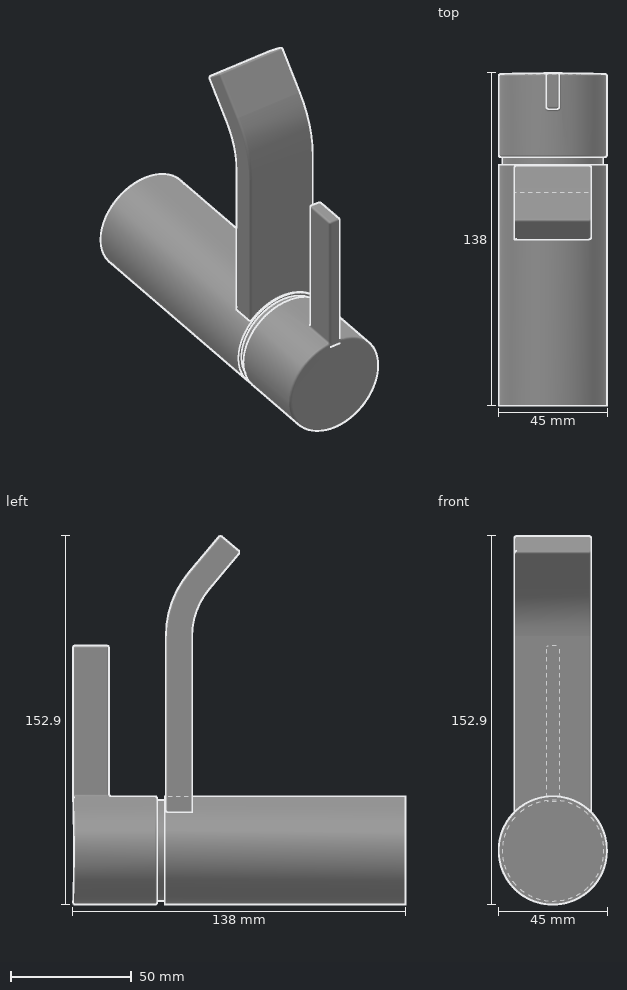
import cadquery as cq
import math

edge_radius = 1.0

barrel_radius = 22.5
barrel_length = 100.0
neck_radius = 21.0
neck_length = 3.0

total_length = 138.0
dish_depth = 0.4
lever_width = 5.5
lever_depth = 15.0
lever_top = 85.0
lever_root_radius = 1.0
lever_embed = 2.0

spout_width = 32.0
spout_thickness = 11.0
spout_setback = 0.5
spout_top = 130.4
bend_start = 89.0
bend_inner_radius = 30.0
bend_angle = math.radians(40.0)

cap_start = barrel_length + neck_length
cap_length = total_length - cap_start
lever_bottom = barrel_radius - lever_embed
spout_back = barrel_length - spout_setback
spout_front = spout_back - spout_thickness
bend_outer_radius = bend_inner_radius + spout_thickness


def cylinder_along_y(radius, start, length):
    """Cylinder on the barrel axis, from Y = start to Y = start + length."""
    return cq.Workplane("XZ", origin=(0, start, 0)).circle(radius).extrude(-length)


def make_barrel():
    neck = cylinder_along_y(neck_radius, barrel_length, neck_length)
    return cylinder_along_y(barrel_radius, 0, barrel_length).union(neck)


def make_cap_shell():
    """Cap drum with rounded rims and a shallow hollow rear face, curved about an axis parallel to X."""
    dish_radius = (barrel_radius**2 + dish_depth**2) / (2 * dish_depth)
    dish_center_y = total_length - dish_depth + dish_radius
    dish = (
        cq.Workplane("YZ")
        .center(dish_center_y, 0)
        .circle(dish_radius)
        .extrude(2 * barrel_radius, both=True)
    )
    drum = cylinder_along_y(barrel_radius, cap_start, cap_length)
    return drum.cut(dish).edges("not |Y").fillet(edge_radius)


def make_lever():
    """Upright flat lever, flush with the rear of the cap and rooted inside it."""
    return (
        cq.Workplane("XY", origin=(0, total_length - lever_depth / 2, lever_bottom))
        .rect(lever_width, lever_depth)
        .extrude(lever_top - lever_bottom)
        .edges("|Z or >Z")
        .fillet(edge_radius)
    )


def make_cap():
    """Cap and lever as one solid, with a fillet where the lever meets the drum."""
    cap = make_cap_shell().union(make_lever())
    root_zone = cq.selectors.BoxSelector(
        (-lever_width, cap_start + edge_radius, lever_bottom),
        (lever_width, total_length, barrel_radius + edge_radius),
    )
    return cap.edges(root_zone).edges("<Y").fillet(lever_root_radius)


def point_on_bend(radius, angle):
    """Point (Y, Z) on an arc about the bend centre, measured from the upright part of the spout."""
    center_y = spout_front - bend_inner_radius
    return (center_y + radius * math.cos(angle), bend_start + radius * math.sin(angle))


def make_spout():
    """Flat bar that rises from the barrel, bends forward and ends square."""
    sin_bend = math.sin(bend_angle)
    cos_bend = math.cos(bend_angle)
    outer_end = point_on_bend(bend_outer_radius, bend_angle)
    inner_end = point_on_bend(bend_inner_radius, bend_angle)

    rounding_loss = edge_radius * (sin_bend + cos_bend - 1)
    tip_rise = spout_top + rounding_loss - outer_end[1]
    tip_reach = tip_rise * math.tan(bend_angle)

    bar = (
        cq.Workplane("YZ")
        .moveTo(spout_front, 0)
        .lineTo(spout_back, 0)
        .lineTo(spout_back, bend_start)
        .threePointArc(point_on_bend(bend_outer_radius, bend_angle / 2), outer_end)
        .lineTo(outer_end[0] - tip_reach, outer_end[1] + tip_rise)
        .lineTo(inner_end[0] - tip_reach, inner_end[1] + tip_rise)
        .lineTo(*inner_end)
        .threePointArc(point_on_bend(bend_inner_radius, bend_angle / 2), (spout_front, bend_start))
        .close()
        .extrude(spout_width / 2, both=True)
    )

    tip_direction = cq.Vector(0, -sin_bend, cos_bend)
    tip_edges = bar.faces(cq.selectors.DirectionMinMaxSelector(tip_direction)).edges()
    rear_edges = bar.faces(">Y").edges("|Z")
    front_edge_middle = (spout_width / 2, spout_front, bend_start / 2)
    front_edge = bar.edges(cq.selectors.NearestToPointSelector(front_edge_middle))
    rounded_edges = tip_edges.vals() + rear_edges.vals() + front_edge.vals()
    bar = bar.newObject(rounded_edges).fillet(edge_radius)

    return bar.cut(cylinder_along_y(barrel_radius, 0, barrel_length))


barrel = make_barrel()
cap_with_lever = make_cap()
spout = make_spout()
result = cq.Compound.makeCompound([barrel.val(), cap_with_lever.val(), spout.val()])